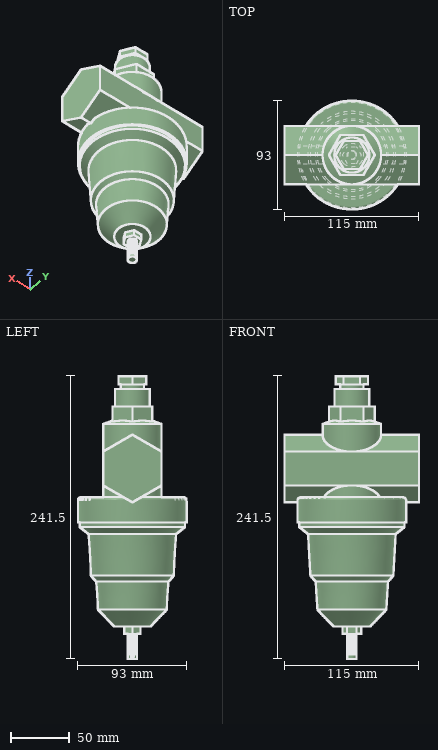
import cadquery as cq
import math


BAR_LENGTH = 115.0
BAR_ACROSS_FLATS = 50.0

HUB_RADIUS = BAR_ACROSS_FLATS / 2
SHOULDER_Z = 38.0
SHOULDER_RADIUS = 17.0
SHOULDER_HEIGHT = 2.9

GLAND_ACROSS_FLATS = 34.0
GLAND_TOP_Z = 53.1
COLLAR_RADIUS = 15.0
COLLAR_HEIGHT = 14.8
NECK_RADIUS = 10.0
NECK_HEIGHT = 4.0
CAP_ACROSS_FLATS = 24.0
CAP_HEIGHT = 7.0

FLANGE_RADIUS = 46.5
FLANGE_TOP_Z = -24.5
FLANGE_EDGE_RADIUS = 2.5
FLANGE_BOTTOM_Z = -46.0

RIM_RADIUS = 45.0
RIM_BOTTOM_Z = -50.0
UPPER_BONNET_TOP_Z = -56.0
UPPER_BONNET_TOP_RADIUS = 37.5
UPPER_BONNET_BOTTOM_Z = -91.5
UPPER_BONNET_BOTTOM_RADIUS = 35.5
LOWER_BONNET_TOP_Z = -96.5
LOWER_BONNET_TOP_RADIUS = 31.0
LOWER_BONNET_BOTTOM_Z = -120.5
LOWER_BONNET_BOTTOM_RADIUS = 29.5
BONNET_END_Z = -135.0
BONNET_END_RADIUS = 15.5

NUT_ACROSS_FLATS = 14.0
NUT_HEIGHT = 6.0
SCREW_RADIUS = 4.0
SCREW_END_Z = -162.6
THREAD_PITCH = 1.0
THREAD_DEPTH = 0.6
PLAIN_TIP_LENGTH = 4.0
PIN_DIAMETER = 2.5
PIN_HEIGHT = 2.5
PIN_PROTRUSION = 0.1

COLLAR_TOP_Z = GLAND_TOP_Z + COLLAR_HEIGHT
CAP_BOTTOM_Z = COLLAR_TOP_Z + NECK_HEIGHT
NUT_BOTTOM_Z = BONNET_END_Z - NUT_HEIGHT


def hex_prism(across_flats, z_bottom, z_top):
    """Upright hexagon with two corners on the X axis."""
    across_corners = across_flats / math.cos(math.pi / 6)
    return cq.Workplane("XY").workplane(offset=z_bottom).polygon(6, across_corners).extrude(z_top - z_bottom)


def turned(profile):
    """Revolve (radius, z) points about the Z axis; the outline closes along the axis."""
    first_z = profile[0][1]
    last_z = profile[-1][1]
    outline = [(0, first_z)] + profile + [(0, last_z)]
    return cq.Workplane("XZ").polyline(outline).close().revolve(360, (0, 0, 0), (0, 1, 0))


def hex_bar():
    bar = hex_prism(BAR_ACROSS_FLATS, -BAR_LENGTH / 2, BAR_LENGTH / 2)
    return bar.rotate((0, 0, 0), (0, 1, 0), 90)


def hub():
    return turned([
        (SHOULDER_RADIUS, SHOULDER_Z + SHOULDER_HEIGHT),
        (HUB_RADIUS, SHOULDER_Z),
        (HUB_RADIUS, FLANGE_TOP_Z),
    ])


def top_fitting():
    gland = hex_prism(GLAND_ACROSS_FLATS, SHOULDER_Z, GLAND_TOP_Z)
    collar_and_neck = turned([
        (COLLAR_RADIUS, GLAND_TOP_Z),
        (COLLAR_RADIUS, COLLAR_TOP_Z),
        (NECK_RADIUS, COLLAR_TOP_Z),
        (NECK_RADIUS, CAP_BOTTOM_Z),
    ])
    cap = hex_prism(CAP_ACROSS_FLATS, CAP_BOTTOM_Z, CAP_BOTTOM_Z + CAP_HEIGHT)
    return gland.union(collar_and_neck).union(cap)


def flange_and_bonnet():
    body = turned([
        (FLANGE_RADIUS, FLANGE_TOP_Z),
        (FLANGE_RADIUS, FLANGE_BOTTOM_Z),
        (RIM_RADIUS, FLANGE_BOTTOM_Z),
        (RIM_RADIUS, RIM_BOTTOM_Z),
        (UPPER_BONNET_TOP_RADIUS, UPPER_BONNET_TOP_Z),
        (UPPER_BONNET_BOTTOM_RADIUS, UPPER_BONNET_BOTTOM_Z),
        (LOWER_BONNET_TOP_RADIUS, LOWER_BONNET_TOP_Z),
        (LOWER_BONNET_BOTTOM_RADIUS, LOWER_BONNET_BOTTOM_Z),
        (BONNET_END_RADIUS, BONNET_END_Z),
    ])
    return body.faces(">Z").edges().fillet(FLANGE_EDGE_RADIUS)


def adjusting_screw():
    """Screw with ring-shaped V threads and a plain tip; a small pin in the tip stands just proud at -X."""
    tip_top_z = SCREW_END_Z + PLAIN_TIP_LENGTH
    thread_count = math.floor((NUT_BOTTOM_Z - tip_top_z) / THREAD_PITCH)
    profile = [(SCREW_RADIUS, SCREW_END_Z)]
    for i in range(thread_count):
        groove_z = tip_top_z + i * THREAD_PITCH
        profile.append((SCREW_RADIUS, groove_z))
        profile.append((SCREW_RADIUS - THREAD_DEPTH, groove_z + THREAD_PITCH / 2))
    profile.append((SCREW_RADIUS, tip_top_z + thread_count * THREAD_PITCH))
    profile.append((SCREW_RADIUS, BONNET_END_Z))
    pin = (
        cq.Workplane("YZ")
        .center(0, SCREW_END_Z + PIN_HEIGHT)
        .circle(PIN_DIAMETER / 2)
        .extrude(-(SCREW_RADIUS + PIN_PROTRUSION))
    )
    return turned(profile).union(pin)


def lock_nut():
    return hex_prism(NUT_ACROSS_FLATS, NUT_BOTTOM_Z, BONNET_END_Z)


result = (
    hex_bar()
    .union(hub())
    .union(top_fitting())
    .union(flange_and_bonnet())
    .union(lock_nut())
    .union(adjusting_screw())
)